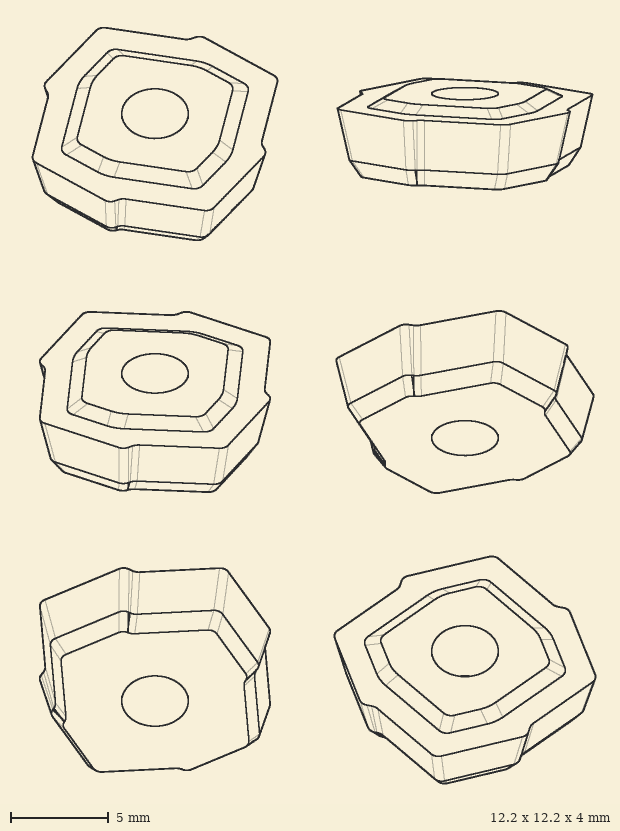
import cadquery as cq
import math

TOTAL_HEIGHT = 4.0
BOSS_HEIGHT = 0.42
BASE_HEIGHT = 0.9
RIM_HEIGHT = TOTAL_HEIGHT - BOSS_HEIGHT

FLANK_ANGLE = 11
BASE_ANGLE = 30
BOSS_ANGLE = 60

LONG_SIDE_NORMAL = 100
STEP_NORMAL = 135
SHORT_SIDE_NORMAL = 75
LONG_SIDE_DISTANCE = 5.65
STEP_DISTANCE = 4.28
SHORT_SIDE_DISTANCE = 6.0

CORNER_RADIUS = 0.49
STEP_ROOT_RADIUS = 0.61
TIP_RADIUS = 0.49

BOSS_INSET = 1.35
BOSS_CORNER_RADIUS = 0.55
BOSS_BEND_RADIUS = 2.08

HOLE_DIAMETER = 3.4
QUARTERS = 4


def meet(first, second):
    """Point where two lines, each (normal angle, distance), cross."""
    a, b = math.radians(first[0]), math.radians(second[0])
    det = math.sin(b - a)
    x = (first[1] * math.sin(b) - second[1] * math.sin(a)) / det
    y = (second[1] * math.cos(a) - first[1] * math.cos(b)) / det
    return x, y


def rounded_corner(first, second, radius):
    """Start, middle and end of the arc that rounds two successive clockwise sides."""
    turn = (first[0] - second[0] + 180) % 360 - 180
    reach = math.copysign(radius, turn)
    centre = meet((first[0], first[1] - reach), (second[0], second[1] - reach))
    arc = []
    for angle in (first[0], first[0] - turn / 2, second[0] % 360):
        direction = math.radians(angle)
        arc.append((centre[0] + reach * math.cos(direction),
                    centre[1] + reach * math.sin(direction)))
    return arc


def outline(quarter_sides, inset, height):
    """Closed wire from sides (normal, distance, radius at the side's end)."""
    sides = [(normal - quarter * 360 / QUARTERS, distance - inset, radius)
             for quarter in range(QUARTERS)
             for normal, distance, radius in quarter_sides]
    arcs = [rounded_corner(side[:2], sides[(i + 1) % len(sides)][:2], side[2])
            for i, side in enumerate(sides)]
    path = cq.Workplane("XY", origin=(0, 0, height)).moveTo(*arcs[0][0])
    for i, (start, middle, end) in enumerate(arcs):
        if i > 0:
            path = path.lineTo(*start)
        path = path.threePointArc(middle, end)
    return path.close().val()


def ruled_solid(lower, upper):
    return cq.Workplane(cq.Solid.makeLoft([lower, upper], True))


def lean(height, angle):
    """Sideways run of a face that leans from vertical."""
    return height * math.tan(math.radians(angle))


body_sides = [
    (LONG_SIDE_NORMAL, LONG_SIDE_DISTANCE, STEP_ROOT_RADIUS),
    (STEP_NORMAL, STEP_DISTANCE, TIP_RADIUS),
    (SHORT_SIDE_NORMAL, SHORT_SIDE_DISTANCE, CORNER_RADIUS),
]
boss_sides = [
    (LONG_SIDE_NORMAL, LONG_SIDE_DISTANCE, BOSS_BEND_RADIUS),
    (SHORT_SIDE_NORMAL, SHORT_SIDE_DISTANCE, BOSS_CORNER_RADIUS),
]

waist_inset = lean(RIM_HEIGHT - BASE_HEIGHT, FLANK_ANGLE)
bottom_inset = waist_inset + lean(BASE_HEIGHT, BASE_ANGLE)
bottom = outline(body_sides, bottom_inset, 0)
waist = outline(body_sides, waist_inset, BASE_HEIGHT)
rim = outline(body_sides, 0, RIM_HEIGHT)
body = ruled_solid(bottom, waist).union(ruled_solid(waist, rim))

boss_top_inset = BOSS_INSET + lean(BOSS_HEIGHT, BOSS_ANGLE)
boss = ruled_solid(
    outline(boss_sides, BOSS_INSET, RIM_HEIGHT),
    outline(boss_sides, boss_top_inset, TOTAL_HEIGHT),
)

hole = cq.Workplane("XY").circle(HOLE_DIAMETER / 2).extrude(TOTAL_HEIGHT)

result = body.union(boss).cut(hole)